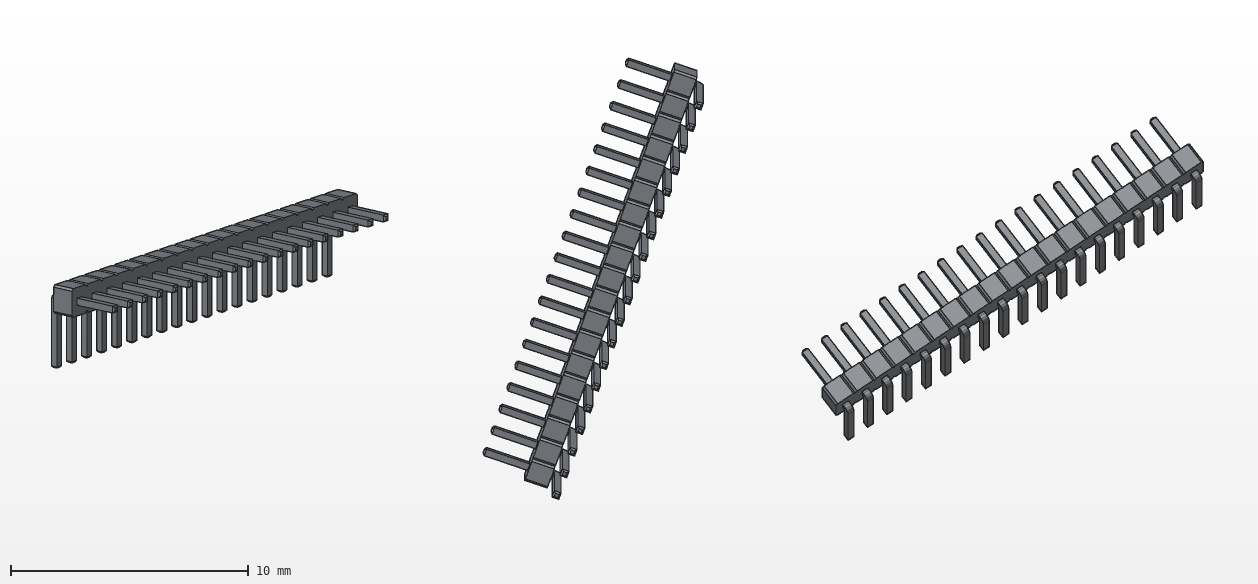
import cadquery as cq

pin_count = 19
row_length = 19.0
pitch = row_length / pin_count

housing_depth = pitch
housing_height = 1.25
housing_chamfer = 0.1

pin_width = 0.3
bend_radius = pin_width
tip_chamfer = 0.08
pin_reach = 3.4
total_height = 3.76
housing_gap = 0.1

housing_top = housing_height / 2
housing_back = pin_width + housing_gap
pin_top = pin_width / 2
pin_bottom = housing_top - total_height


def make_housing_cell(y_center):
    """Housing block around one pin, chamfered along its four X-direction edges."""
    return (
        cq.Workplane("YZ", origin=(housing_back, y_center, 0))
        .rect(pitch, housing_height)
        .extrude(housing_depth)
        .edges("|X")
        .chamfer(housing_chamfer)
    )


def make_pin(y_center):
    """Bent square pin with both tips chamfered."""
    return (
        cq.Workplane("XZ", origin=(0, y_center, 0))
        .moveTo(0, pin_bottom)
        .lineTo(0, pin_top - bend_radius)
        .radiusArc((bend_radius, pin_top), bend_radius)
        .lineTo(pin_reach, pin_top)
        .lineTo(pin_reach, pin_top - pin_width)
        .lineTo(pin_width, pin_top - pin_width)
        .lineTo(pin_width, pin_bottom)
        .close()
        .extrude(pin_width / 2, both=True)
        .faces(">X or <Z")
        .chamfer(tip_chamfer)
    )


result = cq.Workplane("XY")
for index in range(pin_count):
    pin_y = (index - (pin_count - 1) / 2) * pitch
    result = result.union(make_housing_cell(pin_y)).union(make_pin(pin_y))